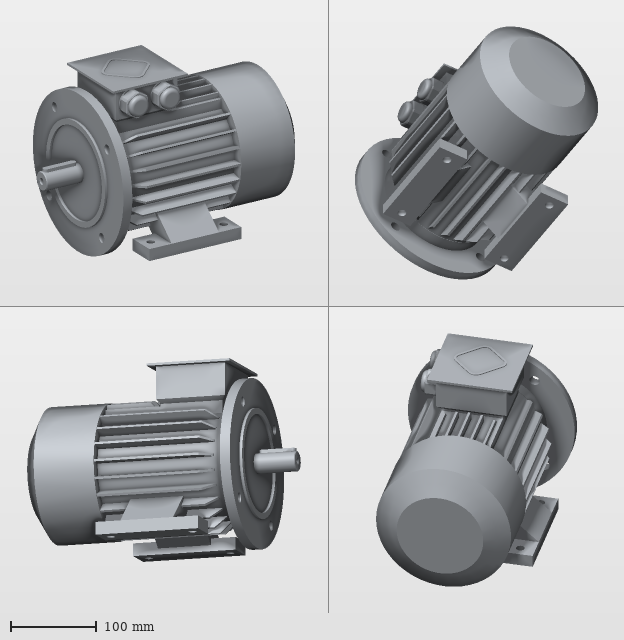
import cadquery as cq
import math


total_length = 315.0
shaft_length = 50.0
shaft_tip_y = -shaft_length
flange_thickness = 12.3
collar_end_y = 27.5
cowl_front_y = 173.5
cowl_bevel_y = 247.3
cowl_rear_y = total_length - shaft_length

flange_diameter = 200.0
spigot_diameter = 130.0
spigot_height = 3.5
recess_diameter = 116.0
collar_diameter = 134.0
barrel_diameter = 133.0
cowl_diameter = 162.0
cowl_rear_diameter = 104.0
bolt_hole_diameter = 12.0
bolt_circle_diameter = 165.0
bolt_hole_angle = 39.0
bolt_hole_count = 4

shaft_diameter = 24.0
shaft_chamfer = 1.0
center_hole_diameter = 6.5
center_hole_depth = 12.5
center_hole_mouth_chamfer = 1.0
center_hole_tip_angle = 118.0
key_width = 8.0
key_top_z = 15.5
key_front_y = -48.2
key_rear_y = -spigot_height

fin_thickness = 2.8
fin_tip_radius = 80.0
fin_front_y = 31.0
fin_front_radius = 67.5
fin_slope_end_y = 45.0
fin_pitch_angle = 15
first_fin_angle = -225
last_fin_angle = 45
top_fin_count = 5
top_fin_pitch = 15.0
top_fin_front_y = 114.7
top_fin_bevel = 5.5

total_height = 218.0
box_side = 84.7
box_center_y = 67.7
pad_width = 73.7
pad_top_z = 67.7
neck_length = 75.3
neck_top_z = 70.5
box_bottom_z = 75.3
lid_side = 102.0
lid_bottom_z = 114.0
lid_top_z = 117.0
badge_top_z = total_height - flange_diameter / 2
badge_center_y = 65.2
badge_side = 50.7
badge_corner_radius = 10.5
badge_rim_width = 2.8

gland_spacing = 43.0
gland_center_z = 94.8
gland_nut_diameter = 33.0
gland_nut_flats = 30.2
gland_washer_thickness = 2.0
gland_nut_end_x = 57.5
gland_nut_chamfer_length = 1.5
gland_nut_chamfer_depth = 1.0
gland_cap_diameter = 26.0
gland_cap_end_x = 63.5
gland_cap_fillet = 4.5

foot_outer_x = 88.0
foot_inner_x = 50.7
foot_bottom_z = -90.0
foot_top_z = -75.0
foot_front_y = 43.0
foot_length = 126.0
foot_center_y = foot_front_y + foot_length / 2
rib_length = 65.0
rib_root_x = 22.0
rib_lower_edge_z = -83.0
foot_hole_diameter = 10.0
foot_hole_x = 70.0
foot_hole_spacing = 100.2


def disc(diameter, start_y, end_y):
    """Solid cylinder on the shaft axis from start_y to the larger end_y."""
    return cq.Workplane("XZ", origin=(0, start_y, 0)).circle(diameter / 2).extrude(start_y - end_y)


def block(x_range, y_range, z_range):
    """Box given by its lower and upper limit along each axis."""
    lows, highs = zip(x_range, y_range, z_range)
    sizes = [high - low for low, high in zip(lows, highs)]
    return cq.Workplane("XY", origin=lows).box(*sizes, centered=False)


def make_housing():
    """Flange, collar, barrel and fan cowl."""
    flange = disc(flange_diameter, 0, flange_thickness)
    spigot = disc(spigot_diameter, -spigot_height, 0)
    recess = disc(recess_diameter, -spigot_height, 0)
    collar = disc(collar_diameter, flange_thickness, collar_end_y)
    barrel = disc(barrel_diameter, collar_end_y, cowl_front_y)
    cowl_outline = [
        (0, cowl_front_y),
        (cowl_diameter / 2, cowl_front_y),
        (cowl_diameter / 2, cowl_bevel_y),
        (cowl_rear_diameter / 2, cowl_rear_y),
        (0, cowl_rear_y),
    ]
    cowl = cq.Workplane("XY").polyline(cowl_outline).close().revolve(360, (0, 0), (0, 1))
    bolt_holes = (
        cq.Workplane("XZ")
        .polarArray(bolt_circle_diameter / 2, bolt_hole_angle, 360, bolt_hole_count)
        .circle(bolt_hole_diameter / 2)
        .extrude(-flange_thickness)
    )
    front = flange.cut(bolt_holes).union(spigot.cut(recess))
    return front.union(collar).union(barrel).union(cowl)


def make_shaft():
    """Shaft end with a chamfered tip, a centre hole and a round-ended key."""
    shaft = disc(shaft_diameter, shaft_tip_y, 0).faces("<Y").chamfer(shaft_chamfer)
    bore_radius = center_hole_diameter / 2
    mouth_radius = bore_radius + center_hole_mouth_chamfer
    cone_height = bore_radius / math.tan(math.radians(center_hole_tip_angle / 2))
    bore_end_y = shaft_tip_y + center_hole_depth
    hole_outline = [
        (0, shaft_tip_y),
        (mouth_radius, shaft_tip_y),
        (bore_radius, shaft_tip_y + center_hole_mouth_chamfer),
        (bore_radius, bore_end_y),
        (0, bore_end_y + cone_height),
    ]
    center_hole = cq.Workplane("XY").polyline(hole_outline).close().revolve(360, (0, 0), (0, 1))
    key = (
        cq.Workplane("XY", origin=(0, (key_front_y + key_rear_y) / 2, 0))
        .slot2D(key_rear_y - key_front_y, key_width, 90)
        .extrude(key_top_z)
    )
    return shaft.union(key).cut(center_hole)


def make_radial_fins():
    """Fins around the sides and bottom of the barrel, sloping down at the front."""
    fin_outline = [
        (0, fin_front_y),
        (fin_front_radius, fin_front_y),
        (fin_tip_radius, fin_slope_end_y),
        (fin_tip_radius, cowl_front_y),
        (0, cowl_front_y),
    ]
    fin = cq.Workplane("XY").polyline(fin_outline).close().extrude(fin_thickness / 2, both=True)
    fins = cq.Workplane("XY")
    for angle in range(first_fin_angle, last_fin_angle + 1, fin_pitch_angle):
        fins = fins.add(fin.rotate((0, 0, 0), (0, 1, 0), -angle))
    return fins.combine()


def make_top_fins():
    """Upright fins on the pad between the terminal box and the cowl."""
    fins = cq.Workplane("XY")
    for index in range(top_fin_count):
        fin_x = (index - (top_fin_count - 1) / 2) * top_fin_pitch
        tip_z = math.sqrt(fin_tip_radius**2 - fin_x**2)
        fin = block(
            (fin_x - fin_thickness / 2, fin_x + fin_thickness / 2),
            (top_fin_front_y, cowl_front_y),
            (0, tip_z),
        )
        fins = fins.add(fin.edges("<Y and >Z").chamfer(top_fin_bevel))
    return fins.combine()


def make_terminal_box():
    """Pad on the barrel, tapered neck, box, lid and badge rim."""
    half_pad = pad_width / 2
    neck_front_y = box_center_y - neck_length / 2
    neck_rear_y = box_center_y + neck_length / 2
    pad = block((-half_pad, half_pad), (neck_front_y, cowl_front_y), (0, pad_top_z))
    neck = block((-half_pad, half_pad), (neck_front_y, neck_rear_y), (0, neck_top_z))
    taper = (
        cq.Workplane("XY", origin=(0, box_center_y, neck_top_z))
        .rect(pad_width, neck_length)
        .workplane(offset=box_bottom_z - neck_top_z)
        .rect(box_side, box_side)
        .loft(ruled=True)
    )
    box = (
        cq.Workplane("XY", origin=(0, box_center_y, box_bottom_z))
        .rect(box_side, box_side)
        .extrude(lid_bottom_z - box_bottom_z)
    )
    lid = (
        cq.Workplane("XY", origin=(0, box_center_y, lid_bottom_z))
        .rect(lid_side, lid_side)
        .extrude(lid_top_z - lid_bottom_z)
    )
    return pad.union(neck).union(taper).union(box).union(lid).union(make_badge_rim())


def make_badge_rim():
    """Raised rounded-square rim standing on its corner on the lid."""

    def rounded_square(side, corner_radius):
        return (
            cq.Workplane("XY", origin=(0, badge_center_y, lid_top_z))
            .rect(side, side)
            .extrude(badge_top_z - lid_top_z)
            .edges("|Z")
            .fillet(corner_radius)
        )

    outer = rounded_square(badge_side, badge_corner_radius)
    inner = rounded_square(badge_side - 2 * badge_rim_width, badge_corner_radius - badge_rim_width)
    return outer.cut(inner).rotate((0, badge_center_y, 0), (0, badge_center_y, 1), 45)


def make_gland(center_y):
    """Cable gland on the +X wall of the box: washer, hexagon nut and rounded cap."""
    wall_x = box_side / 2

    def section(start_x):
        return cq.Workplane("YZ", origin=(start_x, center_y, gland_center_z))

    washer = section(wall_x).circle(gland_nut_diameter / 2).extrude(gland_washer_thickness)
    nut_start_x = wall_x + gland_washer_thickness
    nut_length = gland_nut_end_x - nut_start_x
    corner_distance = gland_nut_flats / math.cos(math.pi / 6)
    hexagon = (
        section(nut_start_x)
        .transformed(rotate=(0, 0, 90))
        .polygon(6, corner_distance)
        .extrude(nut_length)
    )
    nut_round = section(nut_start_x).circle(gland_nut_diameter / 2).extrude(nut_length)
    nut = hexagon.intersect(nut_round)
    nut = nut.faces(">X").chamfer(gland_nut_chamfer_depth, gland_nut_chamfer_length)
    cap = (
        section(gland_nut_end_x)
        .circle(gland_cap_diameter / 2)
        .extrude(gland_cap_end_x - gland_nut_end_x)
        .faces(">X")
        .edges()
        .fillet(gland_cap_fillet)
    )
    return washer.union(nut).union(cap)


def make_foot():
    """Foot on the +X side: a plate with two holes and a rib sloping up into the barrel."""
    plate = block(
        (foot_inner_x, foot_outer_x),
        (foot_front_y, foot_front_y + foot_length),
        (foot_bottom_z, foot_top_z),
    )
    holes = (
        cq.Workplane("XY", origin=(foot_hole_x, foot_center_y, foot_bottom_z))
        .rarray(3, foot_hole_spacing, 1, 2)
        .circle(foot_hole_diameter / 2)
        .extrude(foot_top_z - foot_bottom_z)
    )
    rib_slope = foot_top_z / foot_outer_x
    rib_outline = [
        (foot_outer_x, foot_top_z),
        (rib_root_x, rib_slope * rib_root_x),
        (rib_root_x, rib_lower_edge_z + rib_slope * (rib_root_x - foot_inner_x)),
        (foot_inner_x, rib_lower_edge_z),
    ]
    rib = (
        cq.Workplane("XZ", origin=(0, foot_center_y, 0))
        .polyline(rib_outline)
        .close()
        .extrude(rib_length / 2, both=True)
    )
    return plate.cut(holes).union(rib)


right_foot = make_foot()

result = make_housing().union(make_shaft())
result = result.union(make_radial_fins()).union(make_top_fins()).union(make_terminal_box())
for side in (-1, 1):
    result = result.union(make_gland(box_center_y + side * gland_spacing / 2))
result = result.union(right_foot).union(right_foot.mirror("YZ"))